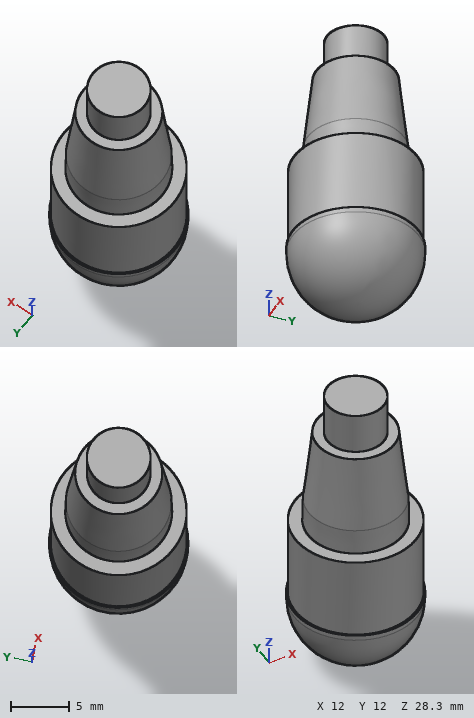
import cadquery as cq

total_height = 28.3
dome_radius = 6.0
band_height = 0.5
barrel_diameter = 11.72
barrel_height = 8.0
collar_base_diameter = 9.23
collar_top_diameter = 9.1
collar_height = 2.5
taper_top_diameter = 7.5
taper_height = 7.3
tip_diameter = 5.5

band_top = dome_radius + band_height
barrel_top = band_top + barrel_height
collar_top = barrel_top + collar_height
taper_top = collar_top + taper_height


def make_dome_cap():
    """Hemispherical cap with a short cylindrical band above it."""
    arc_offset = dome_radius * 0.5 ** 0.5
    arc_middle = (arc_offset, dome_radius - arc_offset)
    return (
        cq.Workplane("XZ")
        .moveTo(0, 0)
        .threePointArc(arc_middle, (dome_radius, dome_radius))
        .lineTo(dome_radius, band_top)
        .lineTo(0, band_top)
        .close()
        .revolve(360, (0, 0), (0, 1))
    )


def make_stem():
    """Barrel, slightly drafted collar, tapered neck and cylindrical tip."""
    barrel_radius = barrel_diameter / 2
    collar_base_radius = collar_base_diameter / 2
    collar_top_radius = collar_top_diameter / 2
    taper_top_radius = taper_top_diameter / 2
    tip_radius = tip_diameter / 2
    profile = [
        (0, band_top),
        (barrel_radius, band_top),
        (barrel_radius, barrel_top),
        (collar_base_radius, barrel_top),
        (collar_top_radius, collar_top),
        (taper_top_radius, taper_top),
        (tip_radius, taper_top),
        (tip_radius, total_height),
        (0, total_height),
    ]
    return cq.Workplane("XZ").polyline(profile).close().revolve(360, (0, 0), (0, 1))


dome_cap = make_dome_cap()
stem = make_stem()

result = cq.Compound.makeCompound([dome_cap.val(), stem.val()])